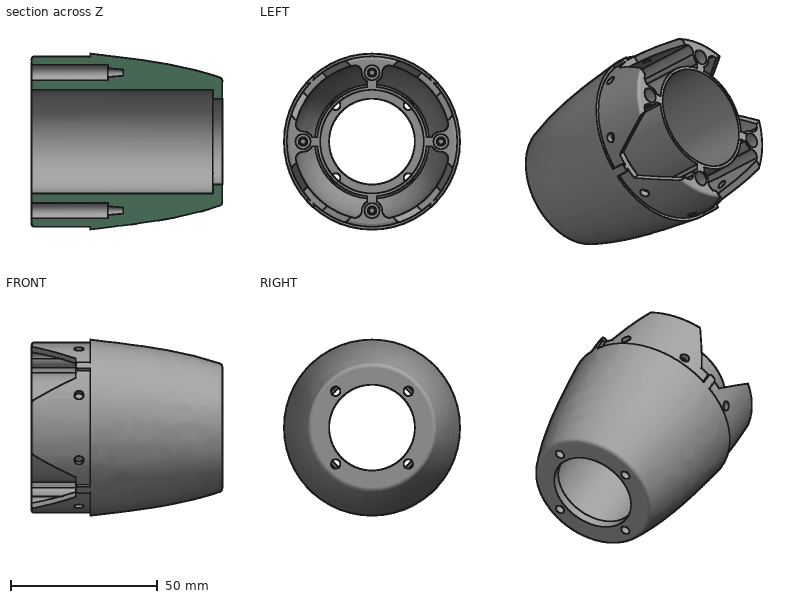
import cadquery as cq
import math


LENGTH = 65.0
SKIRT_LENGTH = 19.95
SKIRT_RADIUS = 29.0
BODY_RADIUS = 60.0 / 2
TAIL_RADIUS = 21.6
BODY_CURVE_POINTS = [(33.8, 28.35), (48.75, 25.95)]
SKIRT_EDGE_FILLET = 1.0
TAIL_EDGE_FILLET = 1.5

CAVITY_RADIUS = 26.65
CAVITY_MIDDLE = (42.25, 24.7)
CAVITY_END_RADIUS = 19.45
FLOOR_X = 61.75
WALL_MIDDLE_RADIUS = (CAVITY_RADIUS + SKIRT_RADIUS) / 2

TUBE_OUTER_RADIUS = 18.65
TUBE_BORE_DIAMETER = 35.2
TAIL_BORE_DIAMETER = 29.1

RIB_WIDTH = 3.1
BOSS_RADIUS = 3.45
BOSS_CENTRE_RADIUS = 23.45
BOSS_FILLET = 2.6
BLEND_OVERLAP = 0.1
BOSS_BORE_DIAMETER = 5.15
BOSS_BORE_DEPTH = 26.0
PILOT_START_DIAMETER = 2.9
PILOT_END_DIAMETER = 2.0
PILOT_DEPTH = 5.2

NOTCH_DEPTH = 15.1
NOTCH_FLOOR_WIDTH = 9.35
NOTCH_MOUTH_WIDTH = 26.25
NOTCH_INNER_DISTANCE = 18.85
KEY_WIDTH = 3.0
KEY_CORNER_RADIUS = 0.85

HOLE_DIAMETER = 3.1
SIDE_HOLE_X = 16.2
SIDE_HOLE_START_RADIUS = 23.4
FLOOR_HOLE_CENTRE_RADIUS = 17.5

AXIS_ANGLES = [0, 90, 180, 270]
DIAGONAL_ANGLES = [45, 135, 225, 315]
SIDE_HOLE_ANGLES = [22.5 + 45 * i for i in range(8)]


def around_x(shape, angles):
    """Copies of a shape turned about the X axis, joined together."""
    copies = cq.Workplane("XY")
    for angle in angles:
        copies = copies.add(shape.rotate((0, 0, 0), (1, 0, 0), angle))
    return copies.combine()


def cylinder_x(radius, start, end):
    """A cylinder about the X axis."""
    return cq.Workplane("YZ").workplane(offset=start).circle(radius).extrude(end - start)


def turned(profile):
    """A closed (X, radius) profile turned about the X axis."""
    return profile.close().revolve(360, (0, 0, 0), (1, 0, 0))


def make_outside():
    outside = turned(
        cq.Workplane("XY")
        .lineTo(0, SKIRT_RADIUS)
        .lineTo(SKIRT_LENGTH, SKIRT_RADIUS)
        .lineTo(SKIRT_LENGTH, BODY_RADIUS)
        .spline(BODY_CURVE_POINTS + [(LENGTH, TAIL_RADIUS)], includeCurrent=True)
        .lineTo(LENGTH, 0)
    )
    outside = outside.faces("<X").edges().fillet(SKIRT_EDGE_FILLET)
    return outside.faces(">X").edges().fillet(TAIL_EDGE_FILLET)


def make_cavity():
    return turned(
        cq.Workplane("XY")
        .lineTo(0, CAVITY_RADIUS)
        .lineTo(SKIRT_LENGTH, CAVITY_RADIUS)
        .threePointArc(CAVITY_MIDDLE, (FLOOR_X, CAVITY_END_RADIUS))
        .lineTo(FLOOR_X, 0)
    )


def make_rib():
    """Rib and boss on the +Z half axis, with concave fillets that run out inside the shell wall."""
    runout_radius = CAVITY_RADIUS + BLEND_OVERLAP
    fillet_y = BOSS_RADIUS + BOSS_FILLET
    fillet_z = math.sqrt((runout_radius - BOSS_FILLET) ** 2 - fillet_y**2)
    runout_scale = runout_radius / (runout_radius - BOSS_FILLET)
    runout_y = fillet_y * runout_scale
    runout_z = fillet_z * runout_scale
    middle_angle = (math.pi + math.atan2(fillet_z, fillet_y)) / 2
    middle_y = fillet_y + BOSS_FILLET * math.cos(middle_angle)
    middle_z = fillet_z + BOSS_FILLET * math.sin(middle_angle)

    blend = (
        cq.Workplane("YZ")
        .moveTo(-BOSS_RADIUS, BOSS_CENTRE_RADIUS)
        .lineTo(-BOSS_RADIUS, fillet_z)
        .threePointArc((-middle_y, middle_z), (-runout_y, runout_z))
        .lineTo(-runout_y, SKIRT_RADIUS)
        .lineTo(runout_y, SKIRT_RADIUS)
        .lineTo(runout_y, runout_z)
        .threePointArc((middle_y, middle_z), (BOSS_RADIUS, fillet_z))
        .lineTo(BOSS_RADIUS, BOSS_CENTRE_RADIUS)
        .close()
        .extrude(FLOOR_X)
    )
    boss = cylinder_x(BOSS_RADIUS, 0, FLOOR_X).translate((0, 0, BOSS_CENTRE_RADIUS))
    rib = cq.Workplane("XY").box(
        FLOOR_X, RIB_WIDTH, BOSS_CENTRE_RADIUS, centered=(False, True, False)
    )
    return blend.union(boss).union(rib)


def make_boss_hole():
    """Blind bore with a tapered pilot hole in its floor, in the boss on the +Z half axis."""
    hole = turned(
        cq.Workplane("XY")
        .lineTo(0, BOSS_BORE_DIAMETER / 2)
        .lineTo(BOSS_BORE_DEPTH, BOSS_BORE_DIAMETER / 2)
        .lineTo(BOSS_BORE_DEPTH, PILOT_START_DIAMETER / 2)
        .lineTo(BOSS_BORE_DEPTH + PILOT_DEPTH, PILOT_END_DIAMETER / 2)
        .lineTo(BOSS_BORE_DEPTH + PILOT_DEPTH, 0)
    )
    return hole.translate((0, 0, BOSS_CENTRE_RADIUS))


def make_notch():
    """Tapered notch through the skirt on the +Z half axis."""
    return (
        cq.Workplane("XY", origin=(0, 0, NOTCH_INNER_DISTANCE))
        .moveTo(0, -NOTCH_MOUTH_WIDTH / 2)
        .lineTo(NOTCH_DEPTH, -NOTCH_FLOOR_WIDTH / 2)
        .lineTo(NOTCH_DEPTH, NOTCH_FLOOR_WIDTH / 2)
        .lineTo(0, NOTCH_MOUTH_WIDTH / 2)
        .close()
        .extrude(BODY_RADIUS - NOTCH_INNER_DISTANCE)
    )


def make_keys():
    """Raised keys between the notch floors and the body, flush with the body's largest radius."""
    key = (
        cq.Workplane("XY", origin=(NOTCH_DEPTH, 0, WALL_MIDDLE_RADIUS))
        .box(
            SKIRT_LENGTH - NOTCH_DEPTH, KEY_WIDTH, BODY_RADIUS - WALL_MIDDLE_RADIUS,
            centered=(False, True, False),
        )
        .edges("<X and |Z")
        .fillet(KEY_CORNER_RADIUS)
    )
    envelope = cylinder_x(BODY_RADIUS, NOTCH_DEPTH, SKIRT_LENGTH)
    return around_x(key, DIAGONAL_ANGLES).intersect(envelope)


def make_side_holes():
    hole = (
        cq.Workplane("XY", origin=(SIDE_HOLE_X, 0, SIDE_HOLE_START_RADIUS))
        .circle(HOLE_DIAMETER / 2)
        .extrude(BODY_RADIUS - SIDE_HOLE_START_RADIUS)
    )
    return around_x(hole, SIDE_HOLE_ANGLES)


def make_floor_holes():
    hole = cylinder_x(HOLE_DIAMETER / 2, FLOOR_X, LENGTH)
    return around_x(hole.translate((0, 0, FLOOR_HOLE_CENTRE_RADIUS)), DIAGONAL_ANGLES)


tube = cylinder_x(TUBE_OUTER_RADIUS, 0, FLOOR_X)
pockets = make_cavity().cut(around_x(make_rib(), AXIS_ANGLES)).cut(tube)

result = (
    make_outside()
    .cut(pockets)
    .cut(around_x(make_notch(), DIAGONAL_ANGLES))
    .union(make_keys())
    .cut(cylinder_x(TUBE_BORE_DIAMETER / 2, 0, FLOOR_X))
    .cut(cylinder_x(TAIL_BORE_DIAMETER / 2, FLOOR_X, LENGTH))
    .cut(around_x(make_boss_hole(), AXIS_ANGLES))
    .cut(make_side_holes())
    .cut(make_floor_holes())
)